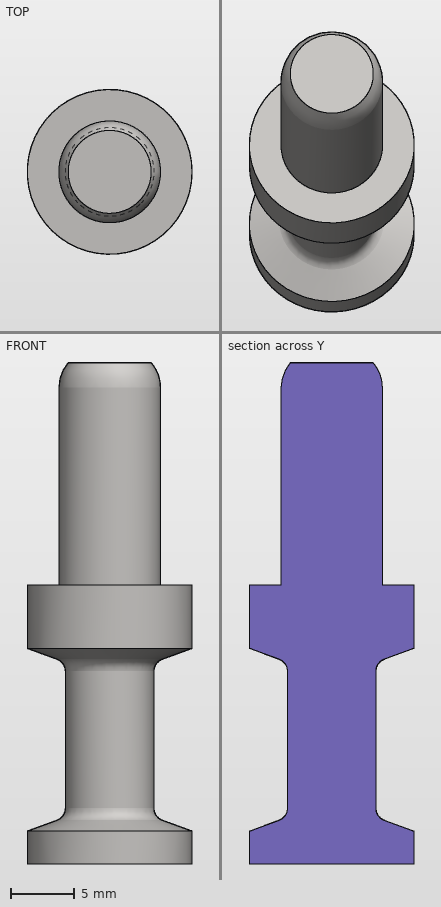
import cadquery as cq
import math

total_height = 39.5
foot_rim_height = 2.6
collar_rim_bottom = 17.0
collar_top = 22.0

flange_radius = 13.0 / 2
neck_radius = 7.0 / 2
pin_radius = 8.0 / 2

cone_angle = math.radians(20)
neck_fillet_radius = 1.0
cone_height = (flange_radius - neck_radius) * math.tan(cone_angle)
neck_bottom = foot_rim_height + cone_height
neck_top = collar_rim_bottom - cone_height

tip_height = 1.98
tip_arc_radius = 3.0


def tip_radius_at(height):
    """Radius of the rounded tip at a height above the straight pin wall."""
    arc_center_radius = pin_radius - tip_arc_radius
    return arc_center_radius + math.sqrt(tip_arc_radius**2 - height**2)


tip_bottom = total_height - tip_height
half_profile = (
    cq.Workplane("XZ")
    .moveTo(0, 0)
    .lineTo(flange_radius, 0)
    .lineTo(flange_radius, foot_rim_height)
    .lineTo(neck_radius, neck_bottom)
    .lineTo(neck_radius, neck_top)
    .lineTo(flange_radius, collar_rim_bottom)
    .lineTo(flange_radius, collar_top)
    .lineTo(pin_radius, collar_top)
    .lineTo(pin_radius, tip_bottom)
    .threePointArc(
        (tip_radius_at(tip_height / 2), tip_bottom + tip_height / 2),
        (tip_radius_at(tip_height), total_height),
    )
    .lineTo(0, total_height)
    .close()
)
body = half_profile.revolve(360, (0, 0, 0), (0, 1, 0))

neck_zone = cq.selectors.BoxSelector(
    (-flange_radius, -flange_radius, foot_rim_height + cone_height / 2),
    (flange_radius, flange_radius, collar_rim_bottom - cone_height / 2),
)
result = body.edges(neck_zone).edges("%CIRCLE").fillet(neck_fillet_radius)